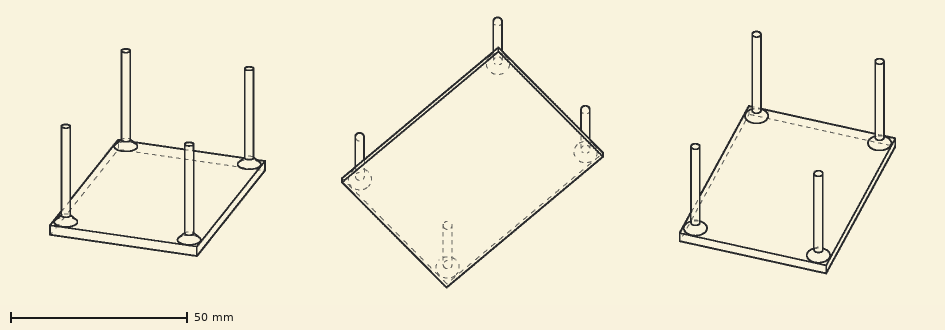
import cadquery as cq

plate_width = 44.0
plate_length = 60.0
plate_thickness = 3.0

total_height = 33.0
pin_diameter = 2.5
foot_height = 2.05
edge_offset = 3.55

pin_radius = pin_diameter / 2
foot_radius = pin_radius + foot_height
pin_height = total_height - plate_thickness


def make_pin():
    """Pin and foot revolved about Z, standing on the top of the plate."""
    profile = (
        cq.Workplane("XZ")
        .lineTo(foot_radius, 0)
        .lineTo(pin_radius, foot_height)
        .lineTo(pin_radius, pin_height)
        .lineTo(0, pin_height)
        .close()
    )
    pin = profile.revolve(360, (0, 0, 0), (0, 1, 0))
    return pin.translate((0, 0, plate_thickness))


result = cq.Workplane("XY").box(
    plate_width, plate_length, plate_thickness, centered=(True, True, False)
)

pin_x = plate_width / 2 - edge_offset
pin_y = plate_length / 2 - edge_offset
for x in (-pin_x, pin_x):
    for y in (-pin_y, pin_y):
        result = result.union(make_pin().translate((x, y, 0)))